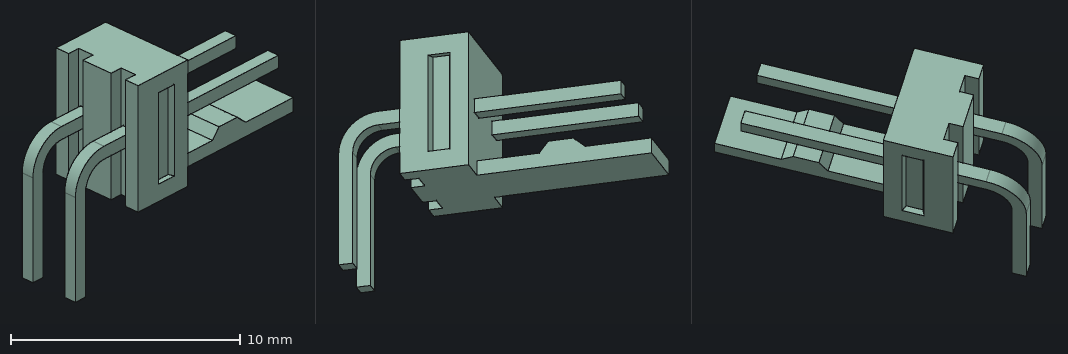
import cadquery as cq


HOUSING_WIDTH = 4.92
HOUSING_DEPTH = 3.16
HOUSING_HEIGHT = 6.35

PIN_PITCH = 2.55
PIN_SIZE = 0.65
PIN_TOP = 3.5
PIN_BOTTOM = -3.59
PIN_FRONT = -3.07
PIN_REAR = 9.86
BEND_OUTER_RADIUS = 1.82
BEND_INNER_RADIUS = BEND_OUTER_RADIUS - PIN_SIZE
PIN_POSITIONS = [-PIN_PITCH / 2, PIN_PITCH / 2]

SLOT_WIDTH = 0.85
SLOT_DEPTH = 0.64

POCKET_DEPTH = 0.28
POCKET_FRONT = 1.31
POCKET_REAR = 2.32
POCKET_FRONT_TAPER = 0.14
POCKET_REAR_TAPER = 0.11
POCKET_MARGIN = 0.88

LATCH_WIDTH = 2.53
OVERALL_LENGTH = 14.23
LATCH_REAR = PIN_FRONT + OVERALL_LENGTH
LATCH_ROOT_THICKNESS = 0.68
LATCH_TIP_THICKNESS = 0.73
BUMP_HEIGHT = 1.2
BUMP_FRONT = 6.0
BUMP_TOP_FRONT = 6.42
BUMP_TOP_REAR = 7.58
BUMP_REAR = 8.13


def make_block():
    """Plain block standing on Z = 0 behind Y = 0."""
    return cq.Workplane("XY").box(
        HOUSING_WIDTH, HOUSING_DEPTH, HOUSING_HEIGHT, centered=(True, False, False)
    )


def make_latch():
    """Flat tongue with a ramped bump across its top."""
    return (
        cq.Workplane("YZ")
        .moveTo(HOUSING_DEPTH, 0)
        .lineTo(LATCH_REAR, 0)
        .lineTo(LATCH_REAR, LATCH_TIP_THICKNESS)
        .lineTo(BUMP_REAR, LATCH_TIP_THICKNESS)
        .lineTo(BUMP_TOP_REAR, BUMP_HEIGHT)
        .lineTo(BUMP_TOP_FRONT, BUMP_HEIGHT)
        .lineTo(BUMP_FRONT, LATCH_ROOT_THICKNESS)
        .lineTo(HOUSING_DEPTH, LATCH_ROOT_THICKNESS)
        .close()
        .extrude(LATCH_WIDTH / 2, both=True)
    )


def make_slot(x):
    """Cutter for the full-height front slot around the pin at x."""
    return (
        cq.Workplane("XY")
        .center(x, 0)
        .box(SLOT_WIDTH, SLOT_DEPTH, HOUSING_HEIGHT, centered=(True, False, False))
    )


def make_side_pocket():
    """Cutter for the -X side pocket, whose front and rear walls slope in towards the floor."""
    face_x = -HOUSING_WIDTH / 2
    floor_x = face_x + POCKET_DEPTH
    return (
        cq.Workplane("XY")
        .workplane(offset=POCKET_MARGIN)
        .moveTo(face_x, POCKET_FRONT)
        .lineTo(floor_x, POCKET_FRONT + POCKET_FRONT_TAPER)
        .lineTo(floor_x, POCKET_REAR - POCKET_REAR_TAPER)
        .lineTo(face_x, POCKET_REAR)
        .close()
        .extrude(HOUSING_HEIGHT - 2 * POCKET_MARGIN)
    )


def make_pin(x):
    """Square pin running forward, then bent down through a right angle."""
    bend_y = PIN_FRONT + BEND_OUTER_RADIUS
    bend_z = PIN_TOP - BEND_OUTER_RADIUS
    pin_underside = PIN_TOP - PIN_SIZE
    leg_rear = PIN_FRONT + PIN_SIZE
    return (
        cq.Workplane("YZ")
        .workplane(offset=x)
        .moveTo(PIN_REAR, PIN_TOP)
        .lineTo(bend_y, PIN_TOP)
        .tangentArcPoint((PIN_FRONT, bend_z), relative=False)
        .lineTo(PIN_FRONT, PIN_BOTTOM)
        .lineTo(leg_rear, PIN_BOTTOM)
        .lineTo(leg_rear, bend_z)
        .radiusArc((bend_y, pin_underside), BEND_INNER_RADIUS)
        .lineTo(PIN_REAR, pin_underside)
        .close()
        .extrude(PIN_SIZE / 2, both=True)
    )


def make_housing(pins):
    """Block and latch in one piece, with slots, side pockets and fitted pin holes."""
    body = make_block().union(make_latch())
    for x in PIN_POSITIONS:
        body = body.cut(make_slot(x))
    side_pocket = make_side_pocket()
    body = body.cut(side_pocket).cut(side_pocket.mirror("YZ"))
    for pin in pins:
        body = body.cut(pin)
    return body


pins = [make_pin(x) for x in PIN_POSITIONS]
housing = make_housing(pins)

result = cq.Compound.makeCompound([*housing.solids().vals(), *[pin.val() for pin in pins]])